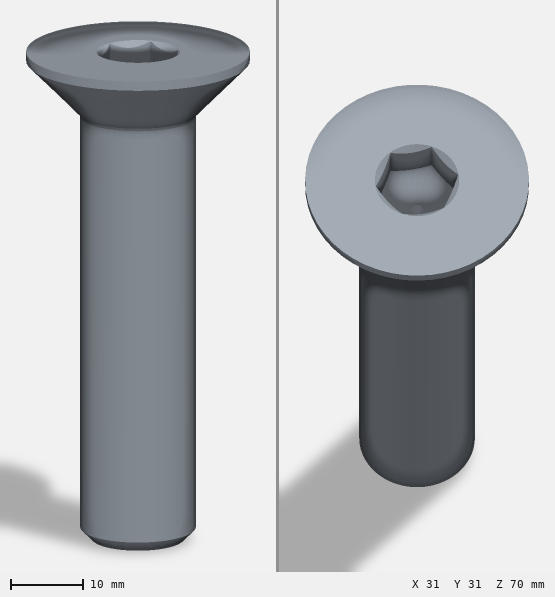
import cadquery as cq
import math

total_length = 70.0
head_diameter = 31.0
shank_diameter = 16.0

rim_height = 1.3
head_height = 8.8
neck_diameter = 16.4
neck_taper_height = 0.4

tip_chamfer = 1.6

socket_flats = 10.0
socket_corners = socket_flats / math.cos(math.pi / 6)
socket_mouth_diameter = 11.7
socket_depth = 4.8
mouth_cone_angle = math.radians(45)
drill_spot_diameter = 1.5
drill_cone_angle = math.radians(30)


def make_body():
    """Revolve the head, neck, shank and chamfered tip about Z."""
    head_radius = head_diameter / 2
    shank_radius = shank_diameter / 2
    head_bottom = total_length - head_height
    profile = (
        cq.Workplane("XZ")
        .lineTo(shank_radius - tip_chamfer, 0)
        .lineTo(shank_radius, tip_chamfer)
        .lineTo(shank_radius, head_bottom - neck_taper_height)
        .lineTo(neck_diameter / 2, head_bottom)
        .lineTo(head_radius, total_length - rim_height)
        .lineTo(head_radius, total_length)
        .lineTo(0, total_length)
        .close()
    )
    return profile.revolve(360, (0, 0, 0), (0, 1, 0))


def make_cone(top_radius, bottom_radius, top_z, angle):
    """Make a downward-narrowing cone, its wall sloping at angle from horizontal."""
    height = (top_radius - bottom_radius) * math.tan(angle)
    cone = cq.Solid.makeCone(
        top_radius, bottom_radius, height, cq.Vector(0, 0, top_z), cq.Vector(0, 0, -1)
    )
    return cq.Workplane(obj=cone)


def make_socket():
    """Make the hexagon cavity with its conical floor and countersunk mouth."""
    corner_radius = socket_corners / 2
    wall_bottom = total_length - socket_depth
    hexagon_height = socket_depth + corner_radius
    hexagon = (
        cq.Workplane("XY")
        .workplane(offset=total_length - hexagon_height)
        .polygon(6, socket_corners)
        .extrude(hexagon_height)
    )
    bore = cq.Workplane("XY").workplane(offset=wall_bottom).circle(corner_radius).extrude(socket_depth)
    floor = make_cone(corner_radius, drill_spot_diameter / 2, wall_bottom, drill_cone_angle)
    mouth = make_cone(socket_mouth_diameter / 2, socket_flats / 2, total_length, mouth_cone_angle)
    return hexagon.intersect(bore.union(floor)).union(mouth)


result = make_body().cut(make_socket())